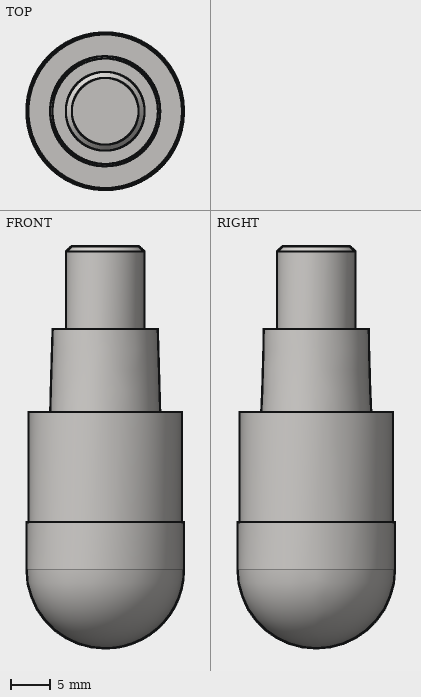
import cadquery as cq

total_height = 51.0

cap_radius = 10.0
cap_wall_height = 6.0
cap_height = cap_radius + cap_wall_height

barrel_radius = 9.75
barrel_height = 13.95
barrel_top = cap_height + barrel_height

taper_base_radius = 7.0
taper_top_radius = 6.7
stem_radius = 5.0
stem_height = 10.5
stem_chamfer_width = 0.75
stem_chamfer_height = 0.7
taper_top = total_height - stem_height


def make_cap():
    """Solid of revolution: hemispherical end and cylindrical wall."""
    arc_mid = cap_radius * 0.5**0.5
    return (
        cq.Workplane("XZ")
        .moveTo(0, 0)
        .threePointArc((arc_mid, cap_radius - arc_mid), (cap_radius, cap_radius))
        .lineTo(cap_radius, cap_height)
        .lineTo(0, cap_height)
        .close()
        .revolve(360, (0, 0, 0), (0, 1, 0))
    )


def make_plunger():
    """Solid of revolution: barrel, tapered shoulder and chamfered stem."""
    return (
        cq.Workplane("XZ")
        .moveTo(0, cap_height)
        .lineTo(barrel_radius, cap_height)
        .lineTo(barrel_radius, barrel_top)
        .lineTo(taper_base_radius, barrel_top)
        .lineTo(taper_top_radius, taper_top)
        .lineTo(stem_radius, taper_top)
        .lineTo(stem_radius, total_height - stem_chamfer_height)
        .lineTo(stem_radius - stem_chamfer_width, total_height)
        .lineTo(0, total_height)
        .close()
        .revolve(360, (0, 0, 0), (0, 1, 0))
    )


cap = make_cap()
plunger = make_plunger()

result = cq.Compound.makeCompound([cap.val(), plunger.val()])